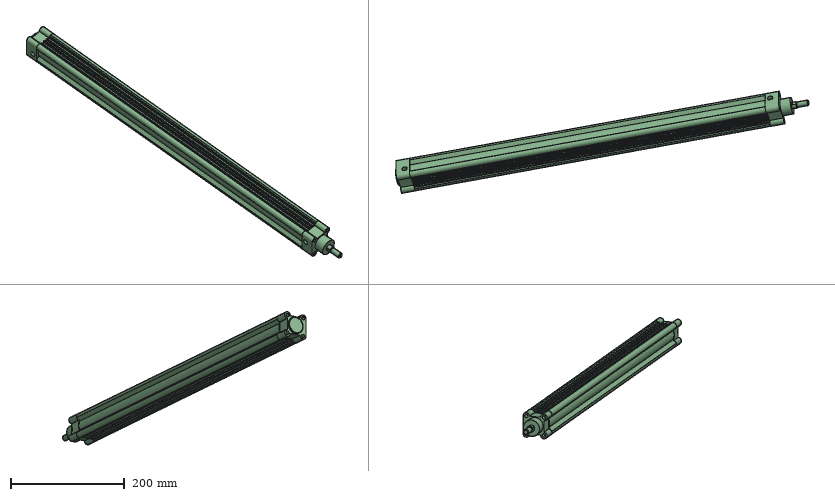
import cadquery as cq

TOTAL_LENGTH = 746.0
REAR_X = -TOTAL_LENGTH / 2

SCREW_OFFSET = 16.5
CORNER_RADIUS = 6.1
CAP_HALF = SCREW_OFFSET + CORNER_RADIUS
RECESS_HALF = SCREW_OFFSET
CAP_LENGTH = 24.5
SCREW_RADIUS = 3.0
SCREW_DEPTH = 11.0
PORT_RADIUS = 4.5
PORT_DEPTH = 7.5
PORT_INSET = 9.0
PORT_RISE = 5.6
COLLAR_RADIUS = 15.0
REAR_COLLAR_LENGTH = 3.0
REAR_COLLAR_CHAMFER = 1.0
FRONT_COLLAR_LENGTH = 19.0

BARREL_LENGTH = 645.0
BARREL_DIAMETER = 36.5
LOBE_HALF = 22.5
LOBE_RADIUS = LOBE_HALF - SCREW_OFFSET
LOBE_EDGE = 14.0
LOBE_FLANK = 9.0
RAIL_TOP = 21.0
RAIL_INNER = 2.0
RAIL_OUTER = 12.0
SLOT_INNER = 4.5
SLOT_OUTER = 10.0
SLOT_FLOOR = 18.0

ROD_RADIUS = 6.0
FLATS_HALF = 5.0
FLATS_START = 1.5
SHANK_LENGTH = 8.0
THREAD_RADIUS = 5.0
THREAD_CHAMFER = 1.5

REAR_CAP_X = REAR_X + REAR_COLLAR_LENGTH
BARREL_X = REAR_CAP_X + CAP_LENGTH
FRONT_CAP_X = BARREL_X + BARREL_LENGTH
FRONT_COLLAR_X = FRONT_CAP_X + CAP_LENGTH
ROD_X = FRONT_COLLAR_X + FRONT_COLLAR_LENGTH
ROD_LENGTH = TOTAL_LENGTH / 2 - ROD_X

CORNERS = [(y * SCREW_OFFSET, z * SCREW_OFFSET) for y in (-1, 1) for z in (-1, 1)]


def section(x):
    """Sketch plane across the axis, with Y and Z as its directions."""
    return cq.Workplane("YZ", origin=(x, 0, 0))


def block(x, length, y_min, y_max, z_min, z_max):
    """Box along the axis between the given Y and Z limits."""
    sketch = section(x).center((y_min + y_max) / 2, (z_min + z_max) / 2)
    return sketch.rect(y_max - y_min, z_max - z_min).extrude(length)


def make_cap(x, screw_face_x, screw_direction, port_x, port_z):
    """End cap with four round corners, a flat port side at -Y and recesses on the other sides."""
    core = block(x, CAP_LENGTH, -RECESS_HALF, RECESS_HALF, -RECESS_HALF, RECESS_HALF)
    port_side = block(x, CAP_LENGTH, -CAP_HALF, 0, -SCREW_OFFSET, SCREW_OFFSET)
    corners = section(x).pushPoints(CORNERS).circle(CORNER_RADIUS).extrude(CAP_LENGTH)
    screw_holes = section(screw_face_x).pushPoints(CORNERS).circle(SCREW_RADIUS)
    screw_holes = screw_holes.extrude(screw_direction * SCREW_DEPTH)
    port = cq.Workplane("XZ", origin=(port_x, -CAP_HALF, port_z)).circle(PORT_RADIUS).extrude(-PORT_DEPTH)
    return core.union(port_side).union(corners).cut(screw_holes).cut(port)


def make_rear_cap():
    """Rear cap with a short chamfered collar at -X."""
    cap = make_cap(REAR_CAP_X, REAR_CAP_X, 1, BARREL_X - PORT_INSET, -PORT_RISE)
    collar = section(REAR_X).circle(COLLAR_RADIUS).extrude(REAR_COLLAR_LENGTH)
    collar = collar.faces("<X").chamfer(REAR_COLLAR_CHAMFER)
    return cap.union(collar)


def make_front_cap():
    """Front cap with the long rod collar at +X."""
    cap = make_cap(FRONT_CAP_X, FRONT_COLLAR_X, -1, FRONT_CAP_X + PORT_INSET, PORT_RISE)
    collar = section(FRONT_COLLAR_X).circle(COLLAR_RADIUS).extrude(FRONT_COLLAR_LENGTH)
    return cap.union(collar)


def make_lobe():
    """Corner lobe at +Y +Z: a rounded outer corner with a 45 degree flank on either side."""
    arc_middle = SCREW_OFFSET + LOBE_RADIUS * 0.5**0.5
    flank_end = LOBE_EDGE - LOBE_FLANK
    flank_depth = LOBE_HALF - LOBE_FLANK
    return (
        section(BARREL_X)
        .moveTo(flank_end, flank_depth)
        .lineTo(LOBE_EDGE, LOBE_HALF)
        .lineTo(SCREW_OFFSET, LOBE_HALF)
        .threePointArc((arc_middle, arc_middle), (LOBE_HALF, SCREW_OFFSET))
        .lineTo(LOBE_HALF, LOBE_EDGE)
        .lineTo(flank_depth, flank_end)
        .close()
        .extrude(BARREL_LENGTH)
    )


def make_rail():
    """Sensor rail on the +Z side, at +Y of the mid-plane."""
    return block(BARREL_X, BARREL_LENGTH, RAIL_INNER, RAIL_OUTER, 0, RAIL_TOP)


def make_slot():
    """Cutter for the slot along the top of that rail."""
    return block(BARREL_X, BARREL_LENGTH, SLOT_INNER, SLOT_OUTER, SLOT_FLOOR, RAIL_TOP)


def in_four_quarters(shape):
    """The given +Y +Z shape and its mirror images in the other three quarters."""
    upper = [shape, shape.mirror("XZ")]
    return upper + [copy.mirror("XY") for copy in upper]


def make_barrel():
    """Round barrel with four corner lobes and a pair of slotted rails at +Z and at -Z."""
    barrel = section(BARREL_X).circle(BARREL_DIAMETER / 2).extrude(BARREL_LENGTH)
    for addition in in_four_quarters(make_lobe()) + in_four_quarters(make_rail()):
        barrel = barrel.union(addition)
    for slot in in_four_quarters(make_slot()):
        barrel = barrel.cut(slot)
    return barrel


def make_rod():
    """Rod end with two wrench flats, facing -Y and +Y, and a threaded tip chamfered at both ends."""
    shank = section(ROD_X).circle(ROD_RADIUS).extrude(SHANK_LENGTH)
    flats_x = ROD_X + FLATS_START
    flats_length = SHANK_LENGTH - FLATS_START
    for y_min, y_max in ((-ROD_RADIUS, -FLATS_HALF), (FLATS_HALF, ROD_RADIUS)):
        shank = shank.cut(block(flats_x, flats_length, y_min, y_max, -ROD_RADIUS, ROD_RADIUS))
    thread = section(ROD_X + SHANK_LENGTH).circle(THREAD_RADIUS).extrude(ROD_LENGTH - SHANK_LENGTH)
    thread = thread.faces("<X or >X").chamfer(THREAD_CHAMFER)
    return shank.union(thread)


rear_cap = make_rear_cap()
barrel = make_barrel()
front_cap = make_front_cap()
rod = make_rod()

result = cq.Compound.makeCompound([rear_cap.val(), barrel.val(), front_cap.val(), rod.val()])